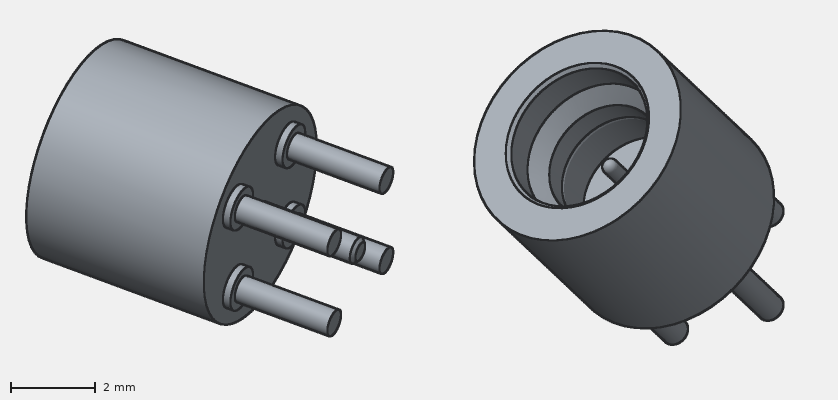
import cadquery as cq

total_length = 7.5
body_length = 4.8
body_diameter = 5.5

mouth_diameter = 3.81
bore_diameter = 3.615
throat_diameter = 2.93
mouth_chamfer = (mouth_diameter - bore_diameter) / 2
bore_end = 0.93
throat_start = 1.39
groove_start = 2.04
groove_width = 0.12
groove_depth = 0.04
socket_depth = 3.15

contact_diameter = 0.39
contact_tip = 1.5

pin_diameter = 0.675
pin_offset = 1.27
collar_diameter = 1.1
collar_length = 0.2
centre_pin_chamfer = 0.1


def cylinder_along_x(diameter, start, end, y=0, z=0):
    """Solid cylinder parallel to X, from start to end."""
    return (
        cq.Workplane("YZ", origin=(start, y, z))
        .circle(diameter / 2)
        .extrude(end - start)
    )


def socket():
    """Cavity: chamfered mouth, bore, cone and throat with a snap groove that tapers back inward."""
    groove_bottom = (groove_start, throat_diameter / 2 + groove_depth)
    groove_end = (groove_start + groove_width, throat_diameter / 2)
    return (
        cq.Workplane("XY")
        .moveTo(0, 0)
        .lineTo(0, mouth_diameter / 2)
        .lineTo(mouth_chamfer, bore_diameter / 2)
        .lineTo(bore_end, bore_diameter / 2)
        .lineTo(throat_start, throat_diameter / 2)
        .lineTo(groove_start, throat_diameter / 2)
        .lineTo(*groove_bottom)
        .lineTo(*groove_end)
        .lineTo(socket_depth, throat_diameter / 2)
        .lineTo(socket_depth, 0)
        .close()
        .revolve(360, (0, 0, 0), (1, 0, 0))
    )


def contact():
    """Centre contact rising from the socket floor to a hemispherical tip."""
    tip_centre = contact_tip + contact_diameter / 2
    tip = cq.Workplane("XY", origin=(tip_centre, 0, 0)).sphere(contact_diameter / 2)
    return cylinder_along_x(contact_diameter, tip_centre, body_length).union(tip)


def centre_pin():
    """Signal pin with a chamfered end."""
    pin = cylinder_along_x(pin_diameter, socket_depth, total_length)
    return pin.faces(">X").chamfer(centre_pin_chamfer)


def corner_pin(y, z):
    """Ground pin standing on a short collar."""
    collar = cylinder_along_x(collar_diameter, body_length, body_length + collar_length, y, z)
    return collar.union(cylinder_along_x(pin_diameter, body_length, total_length, y, z))


result = cylinder_along_x(body_diameter, 0, body_length).cut(socket())
result = result.union(contact()).union(centre_pin())
for y in (-pin_offset, pin_offset):
    for z in (-pin_offset, pin_offset):
        result = result.union(corner_pin(y, z))